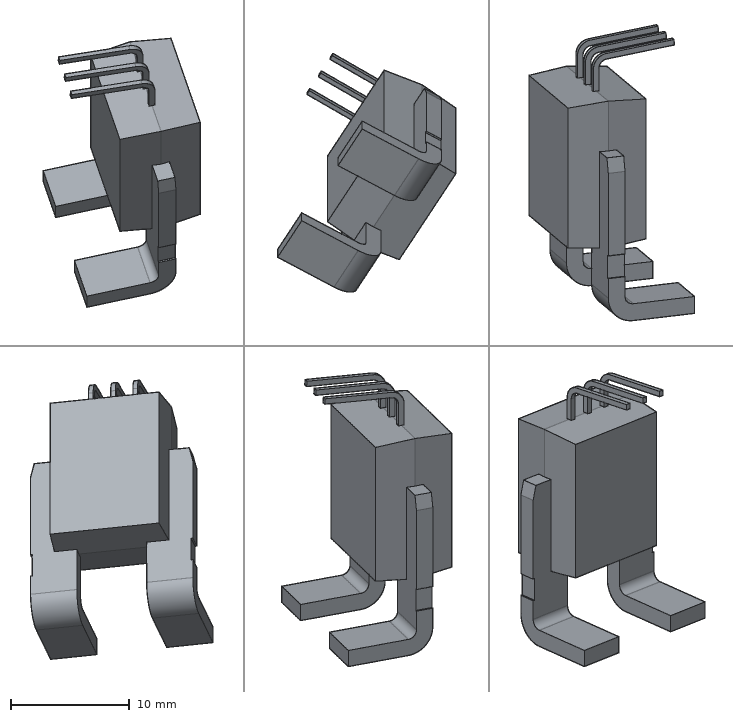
import cadquery as cq
import math


body_width = 9.99
body_height = 13.01
body_bottom = 5.98
body_half_depth = 3.5
body_draft = 5.0
body_top = body_bottom + body_height

terminal_outer = 6.995
terminal_inner = 3.0
terminal_thickness = 1.5
terminal_top = 14.58
terminal_bend = 0.75
foot_reach = 7.0
tip_bevel_width = 0.32
tip_bevel_height = 1.27
notch_depth = 0.148
notch_height = 2.0

pin_count = 3
pin_pitch = 1.9
pin_width = 0.4
pin_thickness = 0.5
pin_bend = 0.75
pin_slope = math.radians(5)
pin_reach = 7.03
pin_top = 22.75
pin_embed = 0.9


def make_body():
    """Two drafted halves meeting at the parting plane."""
    outline = (
        cq.Workplane("XZ")
        .center(0, body_bottom + body_height / 2)
        .rect(body_width, body_height)
    )
    front_half = outline.extrude(body_half_depth, taper=body_draft)
    back_half = front_half.mirror("XZ")
    return front_half.union(back_half)


def make_terminal():
    """Terminal on the +X side: L-shaped strip, bevelled tip, notched outer edge."""
    half = terminal_thickness / 2
    outer_bend = terminal_bend + terminal_thickness
    strip = (
        cq.Workplane("YZ", origin=(terminal_inner, 0, 0))
        .moveTo(half, terminal_top)
        .lineTo(half, outer_bend)
        .radiusArc((half - outer_bend, 0), outer_bend)
        .lineTo(-foot_reach, 0)
        .lineTo(-foot_reach, terminal_thickness)
        .lineTo(-half - terminal_bend, terminal_thickness)
        .radiusArc((-half, outer_bend), -terminal_bend)
        .lineTo(-half, terminal_top)
        .close()
        .extrude(terminal_outer - terminal_inner)
    )
    tip_bevel = (
        cq.Workplane("XZ")
        .moveTo(terminal_outer - tip_bevel_width, terminal_top)
        .lineTo(terminal_outer, terminal_top)
        .lineTo(terminal_outer, terminal_top - tip_bevel_height)
        .close()
        .extrude(half, both=True)
    )
    notch = (
        cq.Workplane("XZ")
        .center(terminal_outer, body_bottom - notch_height / 2)
        .rect(2 * notch_depth, notch_height)
        .extrude(half, both=True)
    )
    return strip.cut(tip_bevel).cut(notch)


def make_pin(x):
    """Bent pin centred on x, its free end cut square to its slope."""
    half = pin_thickness / 2
    root = body_top - pin_embed
    rise = math.tan(pin_slope)
    lower_tip = (-pin_reach, pin_top - pin_thickness * math.cos(pin_slope))
    upper_tip = (-pin_reach + pin_thickness * math.sin(pin_slope), pin_top)
    inner_corner = (-half, lower_tip[1] - rise * (-half - lower_tip[0]))
    outer_corner = (half, upper_tip[1] - rise * (half - upper_tip[0]))
    blank = (
        cq.Workplane("YZ", origin=(x - pin_width / 2, 0, 0))
        .polyline([(-half, root), inner_corner, lower_tip, upper_tip, outer_corner, (half, root)])
        .close()
        .extrude(pin_width)
    )
    inside_edge = cq.selectors.NearestToPointSelector((x, *inner_corner))
    outside_edge = cq.selectors.NearestToPointSelector((x, *outer_corner))
    return (
        blank.edges(inside_edge).fillet(pin_bend)
        .edges(outside_edge).fillet(pin_bend + pin_thickness)
    )


terminal = make_terminal()
result = make_body().union(terminal).union(terminal.mirror("YZ"))
for index in range(pin_count):
    result = result.union(make_pin((index - (pin_count - 1) / 2) * pin_pitch))